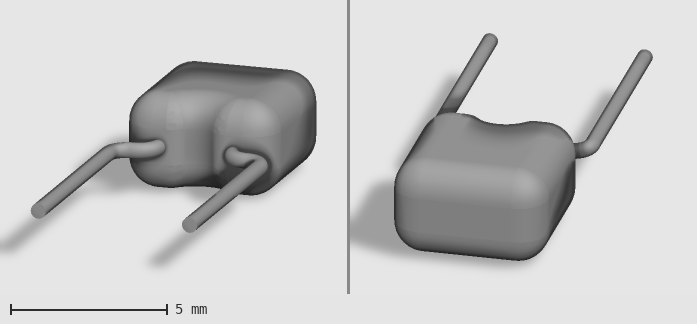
import cadquery as cq

overall_length = 13.6
lead_pitch = 5.09
lead_diameter = 0.5

body_width = 5.06
body_depth = 5.36
body_height = 3.18
edge_radius = 1.0

notch_radius = 0.63
notch_depth = 0.5
notch_lip_radius = 0.63

exit_offset = lead_pitch / 4
bend_radius = (lead_pitch / 2 - exit_offset) / 2
lead_end_y = body_depth - overall_length


def make_body():
    """Rounded block with a round notch in the middle of its front face."""
    block = (
        cq.Workplane("XY")
        .box(body_width, body_depth, body_height)
        .translate((0, body_depth / 2, 0))
        .edges("|Z")
        .fillet(edge_radius)
    )
    notch = (
        cq.Workplane("XY")
        .center(0, notch_depth - notch_radius)
        .circle(notch_radius)
        .extrude(body_height, both=True)
    )
    notched = block.cut(notch)
    rounded = notched.faces("<Z or >Z").edges().fillet(edge_radius)

    lip_selector = cq.selectors.BoxSelector(
        (-exit_offset, -edge_radius, -body_height),
        (exit_offset, edge_radius, body_height),
    )
    lips = rounded.edges("|Z").edges(lip_selector).edges("<Y")
    return lips.fillet(notch_lip_radius)


def make_lead(side):
    """Round wire with an S-bend; side is -1 for the left lead, 1 for the right."""
    bend_sine = bend_radius * 0.5 ** 0.5
    bend_rest = bend_radius - bend_sine
    start_x = side * exit_offset
    middle_x = side * (exit_offset + bend_radius)
    end_x = side * lead_pitch / 2
    path = (
        cq.Workplane("XY")
        .moveTo(start_x, 0)
        .threePointArc((start_x + side * bend_rest, -bend_sine), (middle_x, -bend_radius))
        .threePointArc(
            (middle_x + side * bend_sine, -bend_radius - bend_rest),
            (end_x, -2 * bend_radius),
        )
        .lineTo(end_x, lead_end_y)
    )
    return cq.Workplane("XZ", origin=(start_x, 0, 0)).circle(lead_diameter / 2).sweep(path)


body = make_body()
leads = [make_lead(side) for side in (-1, 1)]
result = cq.Compound.makeCompound([body.val(), *[lead.val() for lead in leads]])